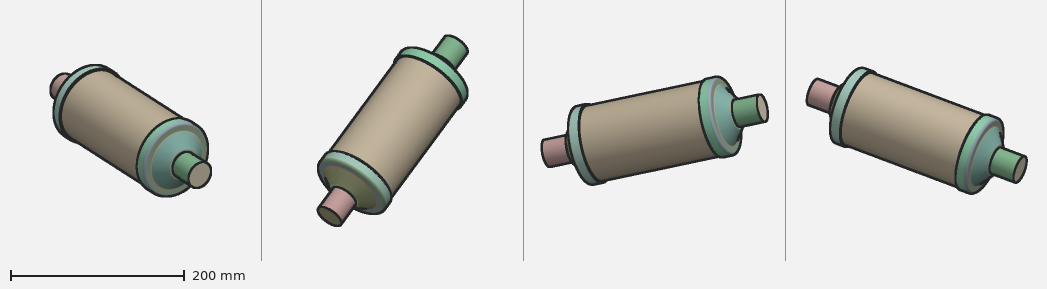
import cadquery as cq

overall_length = 270.0
half_length = overall_length / 2

shell_radius = 44.5

cap_radius = 46.5
cap_length = 14.5
cap_edge_radius = 3.5

cone_length = 13.8
cone_base_radius = 36.2
cone_tip_radius = 19.2
cone_blend_radius = 2.5

tube_radius = 16.2
tube_length = 31.3

cone_tip_x = half_length - tube_length
cap_face_x = cone_tip_x - cone_length
cap_inner_x = cap_face_x - cap_length


def cylinder_between(start_x, end_x, radius):
    """Make a cylinder about the X axis between two stations."""
    return cq.Workplane("YZ", origin=(start_x, 0, 0)).circle(radius).extrude(end_x - start_x)


def circles_of_radius(radius):
    """Return a filter that keeps circular edges of the given radius."""
    tolerance = 0.0003

    def matches(edge):
        return edge.geomType() == "CIRCLE" and abs(edge.radius() - radius) < tolerance

    return matches


def end_cap():
    """Make the +X cap with its conical neck and rounded corners."""
    profile = (
        cq.Workplane("XY")
        .moveTo(cap_inner_x, 0)
        .lineTo(cap_inner_x, cap_radius)
        .lineTo(cap_face_x, cap_radius)
        .lineTo(cap_face_x, cone_base_radius)
        .lineTo(cone_tip_x, cone_tip_radius)
        .lineTo(cone_tip_x, 0)
        .close()
    )
    cap = profile.revolve(360, (0, 0, 0), (1, 0, 0))
    for radius in (cone_base_radius, cone_tip_radius):
        cap = cap.edges().filter(circles_of_radius(radius)).fillet(cone_blend_radius)
    outer_rim = cap.edges().filter(circles_of_radius(cap_radius)).edges(">X")
    return outer_rim.fillet(cap_edge_radius)


shell = cylinder_between(-cap_inner_x, cap_inner_x, shell_radius)
right_end = end_cap().union(cylinder_between(cone_tip_x, half_length, tube_radius))
left_end = right_end.mirror("YZ")
result = shell.union(right_end).union(left_end)